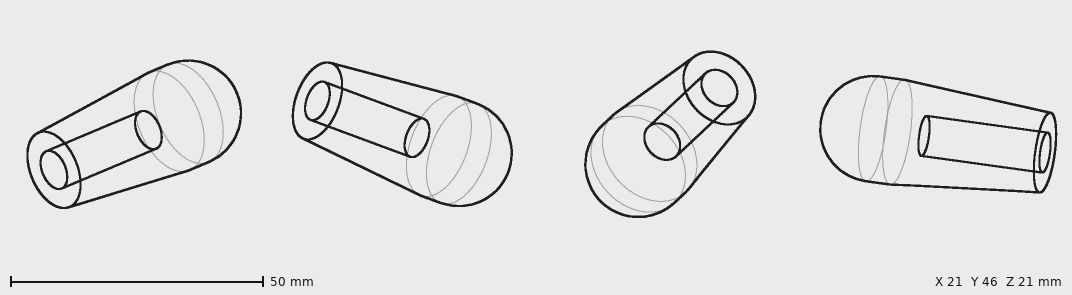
import cadquery as cq
import math

total_length = 46.0
body_diameter = 21.0
base_diameter = 16.0
bore_diameter = 8.0
bore_depth = 25.0
band_length = 5.0

body_radius = body_diameter / 2
base_radius = base_diameter / 2
dome_start = total_length - body_radius
taper_end = dome_start - band_length


def knob_body():
    """Solid of revolution: taper, straight band and hemispherical dome."""
    dome_mid_offset = body_radius * math.sqrt(0.5)
    return (
        cq.Workplane("XY")
        .lineTo(base_radius, 0)
        .lineTo(body_radius, taper_end)
        .lineTo(body_radius, dome_start)
        .threePointArc((dome_mid_offset, dome_start + dome_mid_offset), (0, total_length))
        .close()
        .revolve(360, (0, 0), (0, 1))
    )


def bore():
    """Blind flat-bottomed hole entering from the small end face."""
    return cq.Workplane("XZ").circle(bore_diameter / 2).extrude(-bore_depth)


result = knob_body().cut(bore())